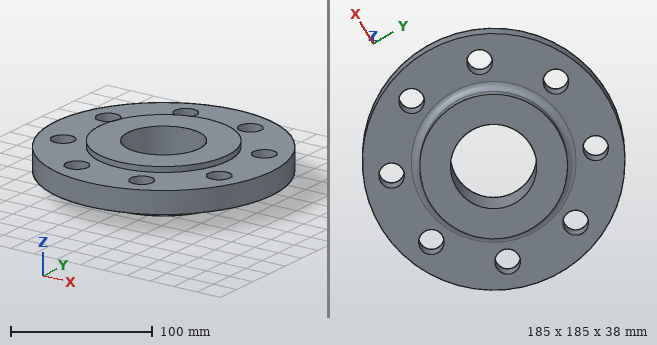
import cadquery as cq

flange_diameter = 185.0
flange_thickness = 18.0

face_diameter = 109.2
face_height = 4.5

total_height = 38.0
hub_diameter = 104.2
hub_height = total_height - face_height - flange_thickness
hub_fillet = 6.0

bore_diameter = 60.7
bolt_hole_count = 8
bolt_hole_diameter = 18.0
bolt_circle_diameter = 145.0
first_bolt_angle = 180.0 / bolt_hole_count

flange_bottom = hub_height
flange_top = flange_bottom + flange_thickness


def disc(diameter, bottom, height):
    return cq.Workplane("XY").workplane(offset=bottom).circle(diameter / 2).extrude(height)


hub = disc(hub_diameter, 0, hub_height)
flange = disc(flange_diameter, flange_bottom, flange_thickness)
raised_face = disc(face_diameter, flange_top, face_height)
body = hub.union(flange)

hub_corner = cq.selectors.RadiusNthSelector(0)
body = body.faces("<Z[1]").edges(hub_corner).fillet(hub_fillet)
body = body.union(raised_face)

bore = disc(bore_diameter, 0, total_height)

bolt_holes = (
    cq.Workplane("XY")
    .workplane(offset=flange_bottom)
    .polarArray(bolt_circle_diameter / 2, first_bolt_angle, 360, bolt_hole_count)
    .circle(bolt_hole_diameter / 2)
    .extrude(flange_thickness)
)

result = body.cut(bore).cut(bolt_holes)